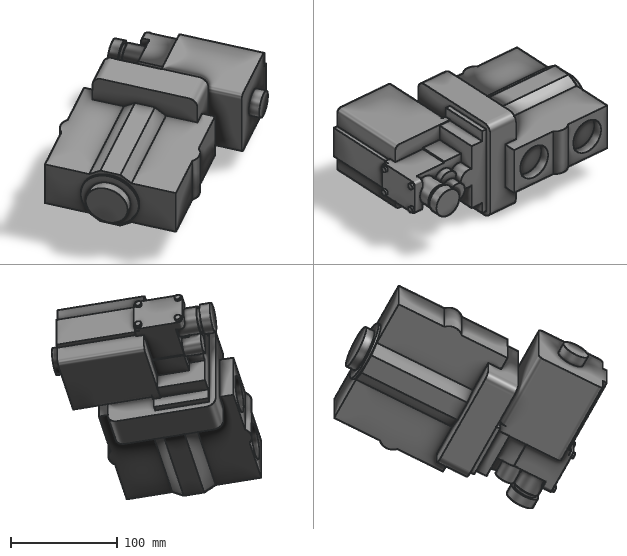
import cadquery as cq

LENGTH = 230.0

PLUG_RADIUS = 20.7
PLUG_LENGTH = 8.7
COLLAR_RADIUS = 28.8
COLLAR_LENGTH = 2.3

BODY_HALF_WIDTH = 64.9
BODY_HALF_HEIGHT = 24.2
BODY_FRONT = PLUG_LENGTH + COLLAR_LENGTH
BODY_LENGTH = 115.7
BODY_BACK = BODY_FRONT + BODY_LENGTH
BODY_MIDDLE = (BODY_FRONT + BODY_BACK) / 2
BULGE_RADIUS = 12.9
BULGE_REACH = 68.8
RIDGE_HALF_HEIGHT = 31.5
RIDGE_FOOT_HALF_WIDTH = 21.0
RIDGE_TOP_HALF_WIDTH = 10.0
PORT_RADIUS = 17.2
PORT_DEPTH = 10.0
PORT_OFFSET = 33.0

PLATE_SIZE = 104.0
PLATE_FRONT = 113.2
PLATE_BACK = 145.0
PLATE_CORNER_RADIUS = 9.0
FLANGE_LEFT = -46.0
FLANGE_RIGHT = 6.2
FLANGE_BACK = 150.0
FLANGE_HALF_HEIGHT = 46.2

BLOCK_BACK = 163.0
BLOCK_HALF_HEIGHT = 35.0
COLUMN_LEFT = -30.8
COLUMN_HALF_HEIGHT = 17.7
COLUMN_BASE_BACK = 184.0
COLUMN_BASE_HALF_HEIGHT = 19.0
SCREW_HEAD_HEIGHT = 2.5
SCREW_RADIUS = 3.0
SCREW_Z = 13.0
COVER_LEFT = -39.0
COVER_RIGHT = 7.5
COVER_FRONT = 218.0
COVER_BACK = LENGTH - SCREW_HEAD_HEIGHT
COVER_LEFT_RADIUS = 4.0
COVER_RIGHT_RADIUS = 4.5
COVER_SQUARE_BACK = 224.5

BOX_LEFT = 0.0
BOX_RIGHT = 83.5
BOX_HALF_HEIGHT = 35.9
BOX_EDGE_RADIUS = 5.0
BOX_SQUARE_LENGTH = 7.4
STRIP_BACK = 222.5
STRIP_HALF_HEIGHT = 16.0
BUTTON_RADIUS = 13.0
BUTTON_LENGTH = 10.4

KNOB_Y = 208.4
KNOB_STEM_RADIUS = 12.9
KNOB_STEM_LEFT = -51.0
KNOB_NECK_RADIUS = 11.3
KNOB_NECK_LEFT = -54.5
KNOB_HEAD_RADIUS = 14.3
KNOB_HEAD_LEFT = -64.5
OVERRIDE_Y = 184.0
OVERRIDE_Z = -7.0
OVERRIDE_RADIUS = 10.0
OVERRIDE_LEFT = -49.0
SOCKET_Y = 185.2
SOCKET_Z = 0.7
SOCKET_RADIUS = 10.8
SOCKET_LEFT = -38.2
STUD_Y = 166.5
STUD_RADIUS = 10.0


def block(left, right, front, back, half_height):
    """Rectangular block centred on Z = 0."""
    return cq.Workplane("XY").box(
        right - left, back - front, 2 * half_height, centered=(False, False, True)
    ).translate((left, front, 0))


def cylinder_x(left, right, y, z, radius):
    """Cylinder along X."""
    return cq.Workplane("YZ", origin=(left, y, z)).circle(radius).extrude(right - left)


def cylinder_y(front, back, x, z, radius):
    """Cylinder along Y."""
    return cq.Workplane("XZ", origin=(x, front, z)).circle(radius).extrude(front - back)


def make_body():
    body = block(-BODY_HALF_WIDTH, BODY_HALF_WIDTH, BODY_FRONT, BODY_BACK, BODY_HALF_HEIGHT)
    bulge_x = BULGE_REACH - BULGE_RADIUS
    bulges = (
        cq.Workplane("XY", origin=(0, BODY_MIDDLE, -BODY_HALF_HEIGHT))
        .pushPoints([(-bulge_x, 0), (bulge_x, 0)])
        .circle(BULGE_RADIUS)
        .extrude(2 * BODY_HALF_HEIGHT)
    )
    ridge = (
        cq.Workplane("XZ", origin=(0, BODY_FRONT, 0))
        .polyline([
            (-RIDGE_FOOT_HALF_WIDTH, -BODY_HALF_HEIGHT),
            (-RIDGE_TOP_HALF_WIDTH, -RIDGE_HALF_HEIGHT),
            (RIDGE_TOP_HALF_WIDTH, -RIDGE_HALF_HEIGHT),
            (RIDGE_FOOT_HALF_WIDTH, -BODY_HALF_HEIGHT),
            (RIDGE_FOOT_HALF_WIDTH, BODY_HALF_HEIGHT),
            (RIDGE_TOP_HALF_WIDTH, RIDGE_HALF_HEIGHT),
            (-RIDGE_TOP_HALF_WIDTH, RIDGE_HALF_HEIGHT),
            (-RIDGE_FOOT_HALF_WIDTH, BODY_HALF_HEIGHT),
        ])
        .close()
        .extrude(BODY_FRONT - PLATE_BACK)
    )
    body = body.union(bulges).union(ridge)
    for offset in (-PORT_OFFSET, PORT_OFFSET):
        port = cylinder_x(
            -BODY_HALF_WIDTH, PORT_DEPTH - BODY_HALF_WIDTH, BODY_MIDDLE + offset, 0, PORT_RADIUS
        )
        body = body.cut(port)
    collar = cylinder_y(PLUG_LENGTH, BODY_FRONT, 0, 0, COLLAR_RADIUS)
    plug = cylinder_y(0, BODY_FRONT, 0, 0, PLUG_RADIUS)
    return body.union(collar).union(plug)


def make_plate_and_flange():
    plate = block(-PLATE_SIZE / 2, PLATE_SIZE / 2, PLATE_FRONT, PLATE_BACK, PLATE_SIZE / 2)
    plate = plate.edges("|Y").fillet(PLATE_CORNER_RADIUS)
    flange = block(FLANGE_LEFT, FLANGE_RIGHT, PLATE_BACK, FLANGE_BACK, FLANGE_HALF_HEIGHT)
    return plate.union(flange)


def make_cover():
    cover = block(COVER_LEFT, COVER_RIGHT, COVER_FRONT, COVER_BACK, COLUMN_HALF_HEIGHT)
    cover = cover.edges("|Y and <X").fillet(COVER_LEFT_RADIUS)
    cover = cover.edges("|Y and >X").fillet(COVER_RIGHT_RADIUS)
    square_end = block(
        COVER_RIGHT - COVER_RIGHT_RADIUS,
        COVER_RIGHT,
        COVER_FRONT,
        COVER_SQUARE_BACK,
        COLUMN_HALF_HEIGHT,
    )
    cover = cover.union(square_end)
    for x in (COVER_LEFT + COVER_LEFT_RADIUS, COVER_RIGHT - COVER_RIGHT_RADIUS):
        for z in (-SCREW_Z, SCREW_Z):
            cover = cover.union(cylinder_y(COVER_BACK, LENGTH, x, z, SCREW_RADIUS))
    return cover


def make_pilot():
    base = block(FLANGE_LEFT, BOX_LEFT, FLANGE_BACK, BLOCK_BACK, BLOCK_HALF_HEIGHT)
    column_base = block(
        COLUMN_LEFT, BOX_LEFT, BLOCK_BACK, COLUMN_BASE_BACK, COLUMN_BASE_HALF_HEIGHT
    )
    column = block(COLUMN_LEFT, BOX_LEFT, COLUMN_BASE_BACK, COVER_FRONT, COLUMN_HALF_HEIGHT)
    return base.union(column_base).union(column).union(make_cover())


def make_solenoid():
    box = block(BOX_LEFT, BOX_RIGHT, FLANGE_BACK, COVER_FRONT, BOX_HALF_HEIGHT)
    box = box.edges("|X").fillet(BOX_EDGE_RADIUS)
    square_end = block(
        BOX_LEFT, BOX_LEFT + BOX_SQUARE_LENGTH, FLANGE_BACK, BLOCK_BACK, BOX_HALF_HEIGHT
    )
    strip = block(BOX_LEFT, BOX_RIGHT, COVER_FRONT, STRIP_BACK, STRIP_HALF_HEIGHT)
    box_middle = (FLANGE_BACK + COVER_FRONT) / 2
    button = cylinder_x(BOX_RIGHT, BOX_RIGHT + BUTTON_LENGTH, box_middle, 0, BUTTON_RADIUS)
    return box.union(square_end).union(strip).union(button)


def make_fittings():
    stem = cylinder_x(KNOB_STEM_LEFT, COLUMN_LEFT, KNOB_Y, 0, KNOB_STEM_RADIUS)
    neck = cylinder_x(KNOB_NECK_LEFT, KNOB_STEM_LEFT, KNOB_Y, 0, KNOB_NECK_RADIUS)
    head = cylinder_x(KNOB_HEAD_LEFT, KNOB_NECK_LEFT, KNOB_Y, 0, KNOB_HEAD_RADIUS)
    socket = cylinder_x(SOCKET_LEFT, COLUMN_LEFT, SOCKET_Y, SOCKET_Z, SOCKET_RADIUS)
    override = cylinder_x(OVERRIDE_LEFT, COLUMN_LEFT, OVERRIDE_Y, OVERRIDE_Z, OVERRIDE_RADIUS)
    stud = cylinder_x(FLANGE_LEFT, COLUMN_LEFT, STUD_Y, 0, STUD_RADIUS)
    return stem.union(neck).union(head).union(socket).union(override).union(stud)


result = (
    make_body()
    .union(make_plate_and_flange())
    .union(make_pilot())
    .union(make_solenoid())
    .union(make_fittings())
)